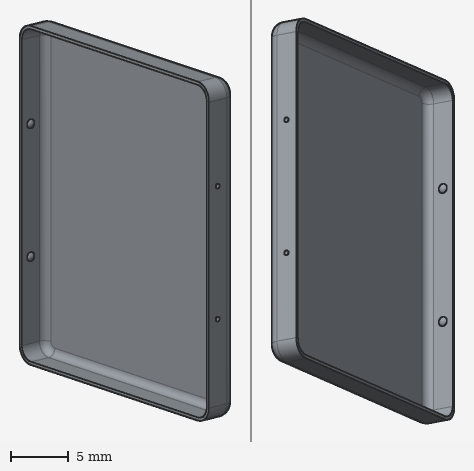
import cadquery as cq

width = 25.0
depth = 3.0
height = 30.6
wall = 0.3
corner_radius = 1.5
back_fillet = 1.0

dimple_radius = 0.2
bump_spacing = 12.0
bump_from_rim = 1.0

rim_y = -depth / 2


def rounded_block(inset):
    """Block inset on every side but the open one, with rounded corners and back edge."""
    length_y = depth - inset
    block = cq.Workplane("XY").box(width - 2 * inset, length_y, height - 2 * inset)
    block = block.translate((0, rim_y + length_y / 2, 0))
    block = block.edges("|Y").fillet(corner_radius - inset)
    return block.faces(">Y").edges().fillet(back_fillet - inset)


def wall_spheres(radius):
    """Four spheres, two on each side wall, centred on its outer face with poles along X."""
    spheres = cq.Workplane("XY")
    for end in (-1, 1):
        sphere = cq.Workplane("XY").sphere(radius).rotate((0, 0, 0), (0, 1, 0), 90)
        left = sphere.translate((-width / 2, rim_y + bump_from_rim, end * bump_spacing / 2))
        spheres = spheres.add(left).add(left.mirror("YZ"))
    return spheres.combine()


outer_block = rounded_block(0)
tray = outer_block.cut(rounded_block(wall))

bumps = wall_spheres(dimple_radius + wall).intersect(outer_block)
result = tray.union(bumps).cut(wall_spheres(dimple_radius))